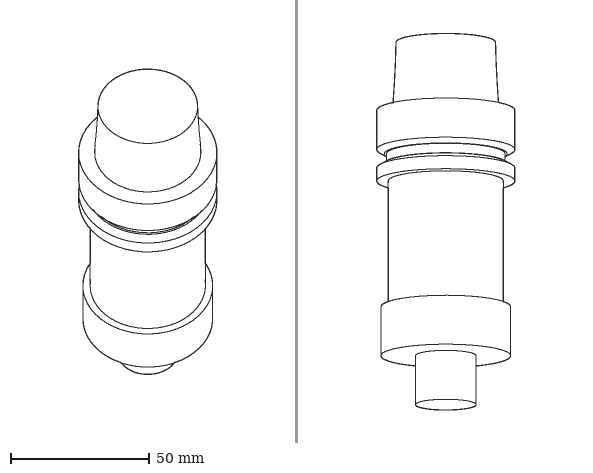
import cadquery as cq

pin_diameter = 22.0
collar_diameter = 47.0
body_diameter = 41.6
flange_diameter = 50.0
groove_diameter = 43.0
groove_bevel_inner_diameter = 44.4
shank_base_diameter = 38.3
shank_middle_diameter = 36.8
shank_top_diameter = 36.0

total_length = 133.0
pin_length = 18.0
collar_length = 18.0
lower_rim_height = 4.8
groove_mouth_height = 6.8
groove_bevel_height = 1.6
upper_rim_height = 14.4
shank_base_height = 2.0
shank_flare_height = 23.0

collar_bottom = pin_length
collar_top = collar_bottom + collar_length
shank_flare_bottom = total_length - shank_flare_height
flange_top = shank_flare_bottom - shank_base_height
groove_mouth_top = flange_top - upper_rim_height
groove_mouth_bottom = groove_mouth_top - groove_mouth_height
flange_bottom = groove_mouth_bottom - lower_rim_height


def cylinder(diameter, bottom, top):
    """Cylinder on the Z axis between two levels."""
    return cq.Workplane("XY").workplane(offset=bottom).circle(diameter / 2).extrude(top - bottom)


def grooved_flange():
    """Flange with a gripper groove whose bevelled walls end in narrow flat ledges."""
    flange_radius = flange_diameter / 2
    groove_radius = groove_diameter / 2
    bevel_inner_radius = groove_bevel_inner_diameter / 2
    profile = (
        cq.Workplane("XZ")
        .moveTo(0, flange_bottom)
        .lineTo(flange_radius, flange_bottom)
        .lineTo(flange_radius, groove_mouth_bottom)
        .lineTo(bevel_inner_radius, groove_mouth_bottom + groove_bevel_height)
        .lineTo(groove_radius, groove_mouth_bottom + groove_bevel_height)
        .lineTo(groove_radius, groove_mouth_top - groove_bevel_height)
        .lineTo(bevel_inner_radius, groove_mouth_top - groove_bevel_height)
        .lineTo(flange_radius, groove_mouth_top)
        .lineTo(flange_radius, flange_top)
        .lineTo(0, flange_top)
        .close()
    )
    return profile.revolve(360, (0, 0, 0), (0, 1, 0))


def flared_shank():
    """Shank with a short straight base and a gently hollow taper above it."""
    flare_middle = (shank_flare_bottom + total_length) / 2
    profile = (
        cq.Workplane("XZ")
        .moveTo(0, flange_top)
        .lineTo(shank_base_diameter / 2, flange_top)
        .lineTo(shank_base_diameter / 2, shank_flare_bottom)
        .threePointArc(
            (shank_middle_diameter / 2, flare_middle),
            (shank_top_diameter / 2, total_length),
        )
        .lineTo(0, total_length)
        .close()
    )
    return profile.revolve(360, (0, 0, 0), (0, 1, 0))


pin = cylinder(pin_diameter, 0, collar_bottom)
collar = cylinder(collar_diameter, collar_bottom, collar_top)
body = cylinder(body_diameter, collar_top, flange_bottom)

result = pin.union(collar).union(body).union(grooved_flange()).union(flared_shank())